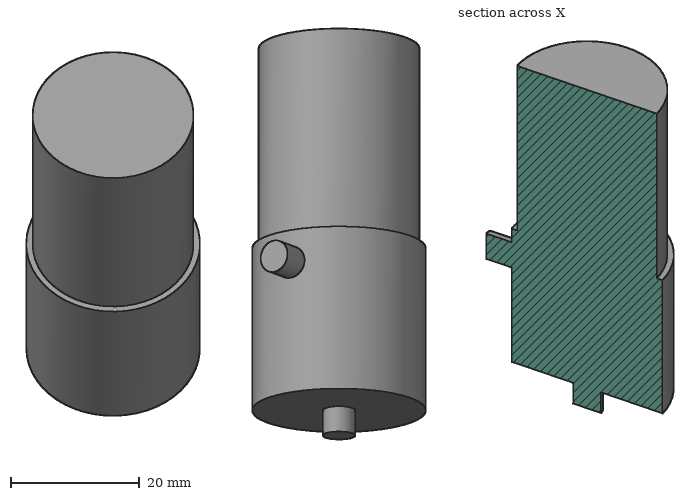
import cadquery as cq

total_height = 62.0
stub_length = 4.0
body_height = 26.0
cap_height = total_height - stub_length - body_height
body_diameter = 27.0
cap_diameter = 25.0
stub_diameter = 5.0

port_reach = 18.0
port_drop = 5.15

body_bottom = stub_length
shoulder = body_bottom + body_height
port_height = shoulder - port_drop


def upright_cylinder(diameter, bottom, height):
    """Cylinder on the Z axis standing on the given level."""
    return cq.Workplane("XY").workplane(offset=bottom).circle(diameter / 2).extrude(height)


stub = upright_cylinder(stub_diameter, 0, stub_length)
body = upright_cylinder(body_diameter, body_bottom, body_height)
cap = upright_cylinder(cap_diameter, shoulder, cap_height)

port = (
    cq.Workplane("XZ")
    .center(0, port_height)
    .circle(stub_diameter / 2)
    .extrude(-port_reach)
)

result = body.union(stub).union(cap).union(port)